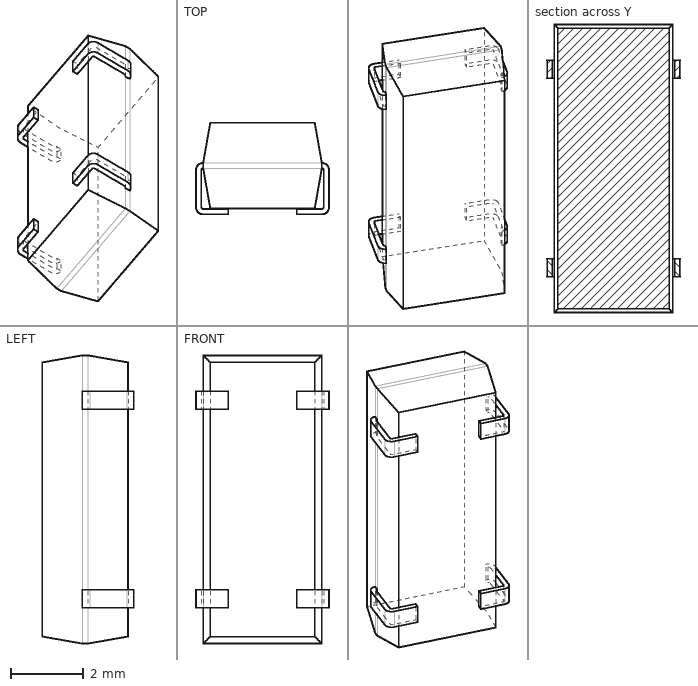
import cadquery as cq
import math

housing_length = 8.0
overall_width = 3.7
overall_depth = 2.54
draft_angle = 10.0

lead_thickness = 0.15
lead_width = 0.5
lead_pitch = 5.5
foot_length = 0.9
bend_radius = 0.2
foot_clearance = 0.01

band_width = overall_width - 2 * bend_radius
band_thickness = lead_thickness
half_depth = (overall_depth - band_thickness - foot_clearance - lead_thickness) / 2
taper_inset = half_depth * math.tan(math.radians(draft_angle))
lead_depth = band_thickness + half_depth + foot_clearance + lead_thickness


def make_tapered_half(direction):
    """Frustum from the band face outward along Y; direction is +1 or -1."""
    return (
        cq.Workplane("XZ", origin=(0, direction * band_thickness / 2, 0))
        .rect(band_width, housing_length)
        .workplane(offset=-direction * half_depth)
        .rect(band_width - 2 * taper_inset, housing_length - 2 * taper_inset)
        .loft(ruled=True)
    )


def make_housing():
    band = cq.Workplane("XY").box(band_width, band_thickness, housing_length)
    return band.union(make_tapered_half(1)).union(make_tapered_half(-1))


def make_lead(side, z_center):
    """C-shaped lead on the side -1 (left) or +1 (right) of the housing."""
    outer_x = -overall_width / 2
    shoulder_x = -band_width / 2
    foot_end_x = outer_x + foot_length
    back_y = band_thickness / 2
    front_y = back_y - lead_depth
    inner_radius = bend_radius - lead_thickness
    bend_back_y = back_y - bend_radius
    bend_front_y = front_y + bend_radius
    outer_diagonal = bend_radius * math.sqrt(0.5)
    inner_diagonal = inner_radius * math.sqrt(0.5)

    lead = (
        cq.Workplane("XY", origin=(0, 0, z_center - lead_width / 2))
        .moveTo(shoulder_x, back_y)
        .threePointArc(
            (shoulder_x - outer_diagonal, bend_back_y + outer_diagonal), (outer_x, bend_back_y)
        )
        .lineTo(outer_x, bend_front_y)
        .threePointArc(
            (shoulder_x - outer_diagonal, bend_front_y - outer_diagonal), (shoulder_x, front_y)
        )
        .lineTo(foot_end_x, front_y)
        .lineTo(foot_end_x, front_y + lead_thickness)
        .lineTo(shoulder_x, front_y + lead_thickness)
        .threePointArc(
            (shoulder_x - inner_diagonal, bend_front_y - inner_diagonal),
            (outer_x + lead_thickness, bend_front_y),
        )
        .lineTo(outer_x + lead_thickness, bend_back_y)
        .threePointArc(
            (shoulder_x - inner_diagonal, bend_back_y + inner_diagonal),
            (shoulder_x, back_y - lead_thickness),
        )
        .close()
        .extrude(lead_width)
    )
    return lead if side < 0 else lead.mirror("YZ")


housing = make_housing()
leads = [
    make_lead(side, z_center)
    for side in (-1, 1)
    for z_center in (-lead_pitch / 2, lead_pitch / 2)
]

result = cq.Compound.makeCompound([housing.val(), *[lead.val() for lead in leads]])